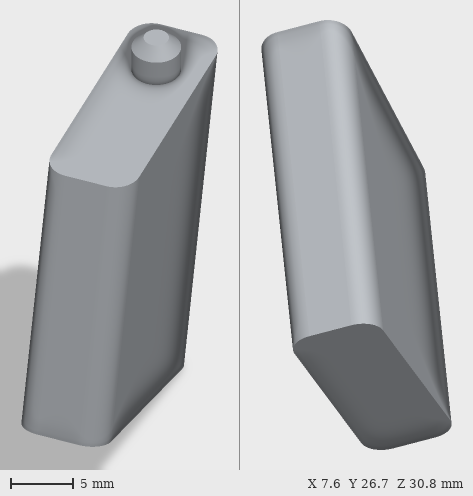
import cadquery as cq
import math

total_height = 30.8
pin_height = 3.3
lean_angle = 15.0
block_thickness = 7.6
block_depth = 20.0
corner_radius = 2.0
pin_diameter = 4.0
pin_chamfer = 1.0
pin_setback = 5.42

lean = math.radians(lean_angle)
block_height = total_height - pin_height
top_depth = block_depth / math.cos(lean)
back_run = block_height * math.tan(lean)
foot_run = block_depth * math.cos(lean)
foot_rise = block_depth * math.sin(lean)


def leaning_block():
    """Block with a level top and a foot square to its rounded leaning edges."""
    profile = [
        (0, 0),
        (back_run, block_height),
        (back_run - top_depth, block_height),
        (-foot_run, foot_rise),
    ]
    block = cq.Workplane("YZ").polyline(profile).close().extrude(block_thickness / 2, both=True)
    edge_direction = cq.Vector(0, math.sin(lean), math.cos(lean))
    leaning_edges = cq.selectors.ParallelDirSelector(edge_direction)
    return block.edges(leaning_edges).fillet(corner_radius)


def locating_pin():
    """Upright round pin with a chamfered tip."""
    return (
        cq.Workplane("XY", origin=(0, back_run - pin_setback, block_height))
        .circle(pin_diameter / 2)
        .extrude(pin_height)
        .faces(">Z")
        .chamfer(pin_chamfer)
    )


result = leaning_block().union(locating_pin())